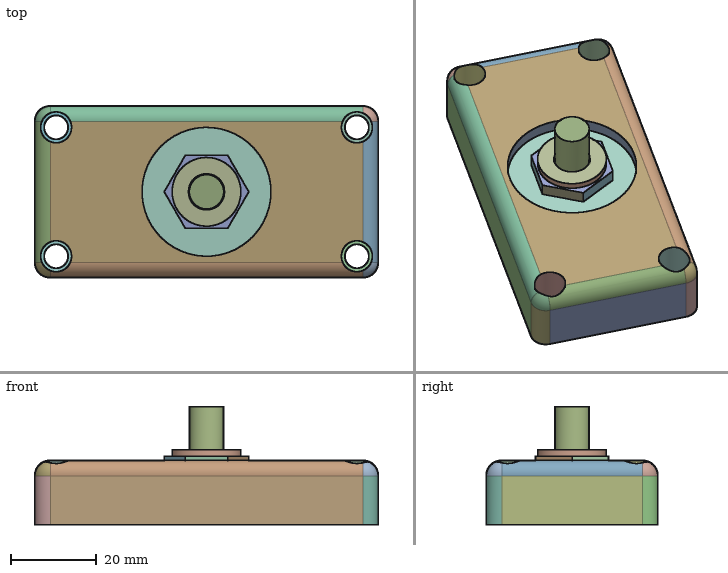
import cadquery as cq
import math

length = 80
width = length / 2
total_height = 27.5
edge_radius = 3.6

shaft_diameter = 8
shaft_exposed = 10.0
collar_diameter = 16
collar_thickness = 1.5
collar_bore = 8.4
nut_across_flats = 17.0
nut_thickness = 3.0
nut_above_block = 1.0
collar_top = total_height - shaft_exposed
nut_top = collar_top - collar_thickness
nut_bottom = nut_top - nut_thickness
block_height = nut_top - nut_above_block

recess_diameter = 30.0
recess_depth = 3.0
recess_floor = block_height - recess_depth

screw_spacing_x = 70.0
screw_spacing_y = 30.0
screw_hole_diameter = 5.5
screw_head_diameter = 7.2
screw_seat_thickness = 4.8


def cylinder(diameter, bottom, top):
    """Upright cylinder on the central axis."""
    return cq.Workplane("XY").workplane(offset=bottom).circle(diameter / 2).extrude(top - bottom)


def make_block():
    """Block with rounded upright corners and a rounded top rim."""
    block = cq.Workplane("XY").box(length, width, block_height, centered=(True, True, False))
    return block.edges("|Z").fillet(edge_radius).faces(">Z").edges().fillet(edge_radius)


def make_screw_holes():
    """Cutting bodies for the four counterbored screw holes."""
    hole = cylinder(screw_hole_diameter, 0, block_height)
    hole = hole.union(cylinder(screw_head_diameter, screw_seat_thickness, block_height))
    holes = cq.Workplane("XY")
    for side_x in (-1, 1):
        for side_y in (-1, 1):
            place = (side_x * screw_spacing_x / 2, side_y * screw_spacing_y / 2, 0)
            holes = holes.add(hole.translate(place))
    return holes.combine()


def make_nut():
    """Hexagonal nut with two corners on the X axis."""
    across_corners = nut_across_flats / math.cos(math.pi / 6)
    return (
        cq.Workplane("XY")
        .workplane(offset=nut_bottom)
        .polygon(6, across_corners)
        .extrude(nut_thickness)
    )


def make_collar():
    """Flat ring on the nut, with a small clearance around the shaft."""
    return cylinder(collar_diameter, nut_top, collar_top).cut(cylinder(collar_bore, nut_top, collar_top))


block = make_block().cut(cylinder(recess_diameter, recess_floor, block_height)).cut(make_screw_holes())
shaft = cylinder(shaft_diameter, recess_floor, total_height)
result = block.union(make_nut()).union(make_collar()).union(shaft)